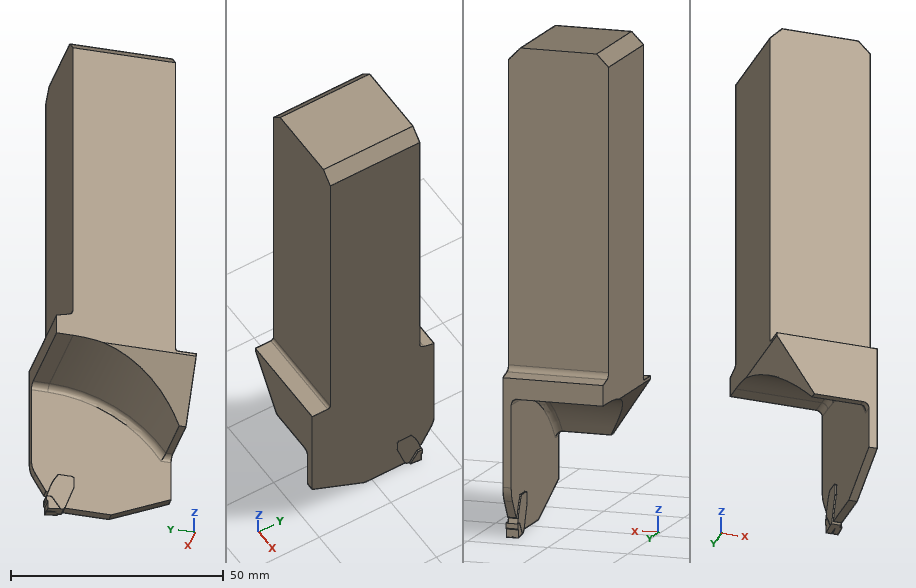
import cadquery as cq
import math

shank_size = 25.0
overall_height = 118.6
top_chamfer = 3.0

front_overhang = 5.05
back_overhang = 4.02
front_y = -front_overhang
back_y = shank_size + back_overhang
blade_bottom_z = 1.0
front_corner_z = 7.8
bottom_front_y = 9.6
front_ledge_z = 34.4
back_ledge_z = 39.5
back_ledge_slope = 15.0
front_ledge_fillet = 0.7
back_ledge_fillet = 1.5
jaw_corner_z = 11.1
jaw_tip_y = 25.5
jaw_tip_z = 5.0
jaw_fillet = 7.0

blade_left_x = 22.9
support_arc_radius = 34.6
support_top_z = 34.5
support_bottom_z = 19.7
support_arc_y = shank_size
blade_root_fillet = 1.5

margin = 5.0

flank_top_z = 33.7
flank_bottom_x = 9.35

tip_left_x = 22.5
tip_right_x = 25.5
insert_left_x = 22.55
insert_right_x = shank_size
insert_top_z = 10.0
insert_heel_y = 18.7
heel_corner_chamfer = 0.4
rake_y = 25.1
rake_foot_z = 2.0
chip_breaker_y = 25.45
chip_breaker_low_z = 2.3
tip_top_z = 3.5
jaw_contact = (25.0, 4.7)
seat_arc_middle = (23.9, 7.8)
seat_arc_end = (22.6, insert_top_z)
heel_bend_z = 7.1
keel_top = (20.85, 1.1)
keel_bottom = (21.25, 0.5)
tip_shoulder_y = 24.2
tip_end_y = 22.05
edge_notch_width = 0.4
edge_notch_depth = 0.3


def extrude_profile(profile, left_x, right_x):
    """Extrude a closed Y-Z profile from left_x to right_x."""
    return profile.extrude(right_x - left_x).translate((left_x, 0, 0))


def insert_body_profile():
    """Side outline of the whole insert, shared with its seat in the holder."""
    return (
        cq.Workplane("YZ")
        .moveTo(rake_y, 0)
        .lineTo(rake_y, rake_foot_z)
        .lineTo(chip_breaker_y, chip_breaker_low_z)
        .lineTo(chip_breaker_y, tip_top_z)
        .lineTo(*jaw_contact)
        .threePointArc(seat_arc_middle, seat_arc_end)
        .lineTo(insert_heel_y + heel_corner_chamfer, insert_top_z)
        .lineTo(insert_heel_y, insert_top_z - heel_corner_chamfer)
        .lineTo(insert_heel_y, heel_bend_z)
        .lineTo(*keel_top)
        .lineTo(*keel_bottom)
        .close()
    )


def make_head_and_shank():
    """Full-width bar with the side outline of shank, head and blade."""
    back_ledge_rise = back_overhang * math.tan(math.radians(back_ledge_slope))
    profile = (
        cq.Workplane("YZ")
        .moveTo(bottom_front_y, blade_bottom_z)
        .lineTo(front_y, front_corner_z)
        .lineTo(front_y, front_ledge_z)
        .lineTo(0, front_ledge_z)
        .lineTo(0, overall_height)
        .lineTo(shank_size, overall_height)
        .lineTo(shank_size, back_ledge_z + back_ledge_rise)
        .lineTo(back_y, back_ledge_z)
        .lineTo(back_y, jaw_corner_z)
        .lineTo(jaw_tip_y, jaw_tip_z)
        .lineTo(*jaw_contact)
        .lineTo(jaw_contact[0], blade_bottom_z)
        .close()
    )
    bar = extrude_profile(profile, 0, shank_size)
    rounded_corners = [
        (0, front_ledge_z, front_ledge_fillet),
        (shank_size, back_ledge_z + back_ledge_rise, back_ledge_fillet),
        (back_y, jaw_corner_z, jaw_fillet),
    ]
    for y, z, radius in rounded_corners:
        corner_edge = cq.selectors.NearestToPointSelector((shank_size / 2, y, z))
        bar = bar.edges(corner_edge).fillet(radius)
    return bar.faces(">Z").edges("|Y").chamfer(top_chamfer)


def make_blade_relief():
    """Space beside the blade, under the curved support; its deep edges are rounded."""
    arc_centre_z = support_top_z - support_arc_radius
    end_angle = math.asin((support_bottom_z - arc_centre_z) / support_arc_radius)
    arc_end_y = support_arc_y - support_arc_radius * math.cos(end_angle)
    mid_angle = (end_angle + math.pi / 2) / 2
    arc_middle = (
        support_arc_y - support_arc_radius * math.cos(mid_angle),
        arc_centre_z + support_arc_radius * math.sin(mid_angle),
    )
    profile = (
        cq.Workplane("YZ")
        .moveTo(front_y - margin, -margin)
        .lineTo(front_y - margin, support_bottom_z)
        .lineTo(arc_end_y, support_bottom_z)
        .threePointArc(arc_middle, (support_arc_y, support_top_z))
        .lineTo(back_y + margin, support_top_z)
        .lineTo(back_y + margin, -margin)
        .close()
    )
    relief = extrude_profile(profile, -margin, blade_left_x)
    ceiling_edges = cq.selectors.BoxSelector(
        (0, front_y - margin / 2, support_bottom_z - margin),
        (blade_left_x + margin, back_y + margin / 2, support_top_z + margin),
    )
    return relief.faces(">X").edges(ceiling_edges).fillet(blade_root_fillet)


def make_flank_cut():
    """Wedge that slopes the -X flank of the support over the whole depth in Y."""
    return (
        cq.Workplane("XZ", origin=(0, back_y, 0))
        .moveTo(0, flank_top_z)
        .lineTo(flank_bottom_x, support_bottom_z)
        .lineTo(0, support_bottom_z)
        .close()
        .extrude(back_y - front_y)
    )


def make_holder():
    seat = extrude_profile(insert_body_profile(), 0, shank_size + margin)
    return make_head_and_shank().cut(make_blade_relief()).cut(make_flank_cut()).cut(seat)


def make_insert():
    body = extrude_profile(insert_body_profile(), insert_left_x, insert_right_x)
    tip_end_z = keel_bottom[1] * (rake_y - tip_end_y) / (rake_y - keel_bottom[0])
    tip_profile = (
        cq.Workplane("YZ")
        .moveTo(rake_y, 0)
        .lineTo(rake_y, rake_foot_z)
        .lineTo(chip_breaker_y, chip_breaker_low_z)
        .lineTo(chip_breaker_y, tip_top_z)
        .lineTo(tip_shoulder_y, tip_top_z)
        .lineTo(tip_end_y, tip_end_z)
        .close()
    )
    tip = extrude_profile(tip_profile, tip_left_x, tip_right_x)
    notch_x = (tip_left_x + tip_right_x) / 2
    notch = (
        cq.Workplane("XZ", origin=(0, back_y, 0))
        .moveTo(notch_x - edge_notch_width / 2, 0)
        .lineTo(notch_x + edge_notch_width / 2, 0)
        .lineTo(notch_x, edge_notch_depth)
        .close()
        .extrude(back_y - front_y)
    )
    return body.union(tip).cut(notch)


holder = make_holder()
insert = make_insert()

result = cq.Compound.makeCompound([holder.val(), insert.val()])